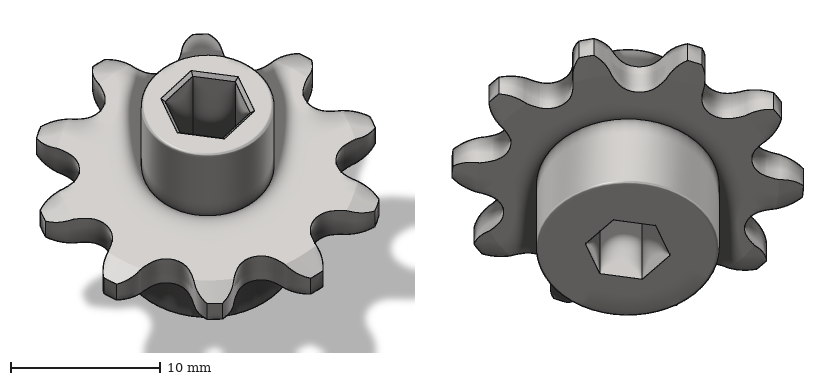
import cadquery as cq
import math

outer_diameter = 23.55
total_height = 15.0
plate_thickness = 2.5
hub_height = (total_height - plate_thickness) / 2

lower_hub_diameter = 12.25
upper_hub_diameter = 8.9
hub_edge_round = 0.24
hex_sides = 6
hex_across_flats = 5.0
hex_corner_angle = 42.0
hex_chamfer = 0.25

tooth_count = 10
chain_pitch = 6.35
bevel_start_radius = 10.12
tip_thickness = 1.65

seat_radius = 1.7
working_radius = 4.33
flank_straight = 0.28
topping_radius = 2.78
seat_half_angle = 55 - 60 / tooth_count
working_angle = 18 - 56 / tooth_count
topping_angle = 40.0
gap_outer_reach = 14.12

outer_radius = outer_diameter / 2
pitch_radius = chain_pitch / 2 / math.sin(math.pi / tooth_count)
plate_bottom = hub_height
plate_top = plate_bottom + plate_thickness


def polar(center, radius, degrees):
    angle = math.radians(degrees)
    return (center[0] + radius * math.cos(angle), center[1] + radius * math.sin(angle))


def mirrored(point):
    return (-point[0], point[1])


def make_gap():
    """One tooth gap, open toward +Y and symmetric about the Y axis."""
    seat_center = (0, pitch_radius)
    root = polar(seat_center, seat_radius, -90)

    slope = seat_half_angle
    seat_end = polar(seat_center, seat_radius, slope - 90)
    working_center = polar(seat_end, working_radius, slope + 90)
    working_middle = polar(working_center, working_radius, slope + working_angle / 2 - 90)
    slope += working_angle
    working_end = polar(working_center, working_radius, slope - 90)

    straight_end = polar(working_end, flank_straight, slope)
    topping_center = polar(straight_end, topping_radius, slope - 90)
    topping_middle = polar(topping_center, topping_radius, slope - topping_angle / 2 + 90)
    topping_end = polar(topping_center, topping_radius, slope - topping_angle + 90)

    return (
        cq.Workplane("XY")
        .workplane(offset=plate_bottom)
        .moveTo(*mirrored(seat_end))
        .threePointArc(root, seat_end)
        .threePointArc(working_middle, working_end)
        .lineTo(*straight_end)
        .threePointArc(topping_middle, topping_end)
        .lineTo(topping_end[0], gap_outer_reach)
        .lineTo(-topping_end[0], gap_outer_reach)
        .lineTo(*mirrored(topping_end))
        .threePointArc(mirrored(topping_middle), mirrored(straight_end))
        .lineTo(*mirrored(working_end))
        .threePointArc(mirrored(working_middle), mirrored(seat_end))
        .close()
        .extrude(plate_thickness)
    )


def make_toothed_plate():
    """Disc with both faces bevelled toward the rim, then cut by the tooth gaps."""
    bevel_drop = (plate_thickness - tip_thickness) / 2
    plate = (
        cq.Workplane("XZ")
        .moveTo(0, plate_bottom)
        .lineTo(bevel_start_radius, plate_bottom)
        .lineTo(outer_radius, plate_bottom + bevel_drop)
        .lineTo(outer_radius, plate_top - bevel_drop)
        .lineTo(bevel_start_radius, plate_top)
        .lineTo(0, plate_top)
        .close()
        .revolve(360, (0, 0, 0), (0, 1, 0))
    )
    gap = make_gap()
    tooth_angle = 360 / tooth_count
    for index in range(tooth_count):
        plate = plate.cut(gap.rotate((0, 0, 0), (0, 0, 1), index * tooth_angle))
    return plate


def make_hub(diameter, bottom, height, rounded_edge):
    return (
        cq.Workplane("XY")
        .workplane(offset=bottom)
        .circle(diameter / 2)
        .extrude(height)
        .edges(rounded_edge)
        .fillet(hub_edge_round)
    )


def make_hex_bore():
    """Through bore with a chamfered mouth on the top face."""
    corner_diameter = hex_across_flats / math.cos(math.pi / hex_sides)
    mouth_diameter = (hex_across_flats + 2 * hex_chamfer) / math.cos(math.pi / hex_sides)
    bore = cq.Workplane("XY").polygon(hex_sides, corner_diameter).extrude(total_height)
    mouth = (
        cq.Workplane("XY")
        .workplane(offset=total_height - hex_chamfer)
        .polygon(hex_sides, corner_diameter)
        .workplane(offset=hex_chamfer)
        .polygon(hex_sides, mouth_diameter)
        .loft(ruled=True)
    )
    return bore.union(mouth).rotate((0, 0, 0), (0, 0, 1), hex_corner_angle)


lower_hub = make_hub(lower_hub_diameter, 0, hub_height, "<Z")
upper_hub = make_hub(upper_hub_diameter, plate_top, hub_height, ">Z")
result = make_toothed_plate().union(lower_hub).union(upper_hub).cut(make_hex_bore())